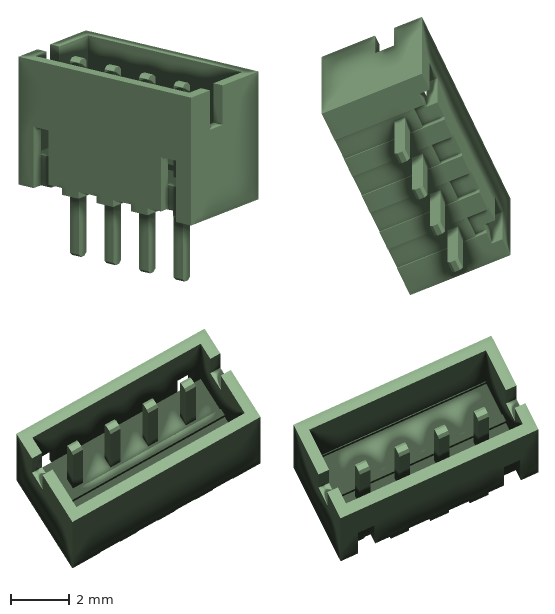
import cadquery as cq


length = 7.5
depth = 3.75
height = 4.6
end_wall = 0.4
front_wall = 0.405
back_wall = 0.4
front_face = -depth / 2
back_face = depth / 2

floor_top = 1.1
rib_top = 1.3
rib_width = 0.26
back_ledge_width = 0.03

pin_count = 4
pin_pitch = 1.5
pin_size = 0.4
pin_y = front_face + 1.4
pin_bottom = -2.6
pin_top = 4.5
tip_run = 0.105
tip_height = 0.105

slot_width = 0.705
slot_floor = 3.18

window_width = 0.65
window_height = 2.205
window_end_gap = 0.66

notch_width = 0.795
notch_depth = 2 * front_wall
notch_height = 0.25
channel_height = 0.05

pin_positions = [(i - (pin_count - 1) / 2) * pin_pitch for i in range(pin_count)]


def block(x_range, y_range, z_range):
    """Axis-aligned box spanning the given ranges."""
    (x0, x1), (y0, y1), (z0, z1) = x_range, y_range, z_range
    return cq.Workplane("XY").box(x1 - x0, y1 - y0, z1 - z0, centered=False).translate((x0, y0, z0))


def centred(middle, width):
    """Range of the given width about a middle position."""
    return (middle - width / 2, middle + width / 2)


def make_housing():
    """Outer box with the stepped cavity, end slots and front windows removed."""
    full_length = centred(0, length)
    inside = centred(0, length - 2 * end_wall)
    cavity_front = front_face + front_wall
    cavity_back = back_face - back_wall
    slot_range = centred(pin_y, slot_width)
    rib_front = slot_range[1]
    rib_back = rib_front + rib_width
    pocket_back = cavity_back - back_ledge_width

    housing = block(full_length, (front_face, back_face), (0, height))
    housing = housing.cut(block(inside, (cavity_front, cavity_back), (rib_top, height)))
    housing = housing.cut(block(inside, (cavity_front, rib_front), (floor_top, rib_top)))
    housing = housing.cut(block(inside, (rib_back, pocket_back), (floor_top, rib_top)))
    housing = housing.cut(block(full_length, slot_range, (slot_floor, height)))

    window_x = length / 2 - window_end_gap - window_width / 2
    for side in (-1, 1):
        window_range = centred(side * window_x, window_width)
        housing = housing.cut(block(window_range, (front_face, cavity_front), (0, window_height)))
    return housing


def cut_pin_relief(housing, x):
    """Open the underside of the housing around the pin at x."""
    x_range = centred(x, notch_width)
    notch = block(x_range, (front_face, front_face + notch_depth), (0, notch_height))
    channel = block(x_range, (front_face, back_face), (0, channel_height))
    return housing.cut(notch).cut(channel)


def make_pin(x):
    """Square pin with both tips bevelled on the front and back."""
    half = pin_size / 2
    tip_half = half - tip_run
    outline = [
        (pin_y - tip_half, pin_bottom),
        (pin_y + tip_half, pin_bottom),
        (pin_y + half, pin_bottom + tip_height),
        (pin_y + half, pin_top - tip_height),
        (pin_y + tip_half, pin_top),
        (pin_y - tip_half, pin_top),
        (pin_y - half, pin_top - tip_height),
        (pin_y - half, pin_bottom + tip_height),
    ]
    profile = cq.Workplane("YZ", origin=(x - half, 0, 0)).polyline(outline).close()
    return profile.extrude(pin_size)


result = make_housing()
for pin_x in pin_positions:
    result = cut_pin_relief(result, pin_x)
for pin_x in pin_positions:
    result = result.union(make_pin(pin_x))